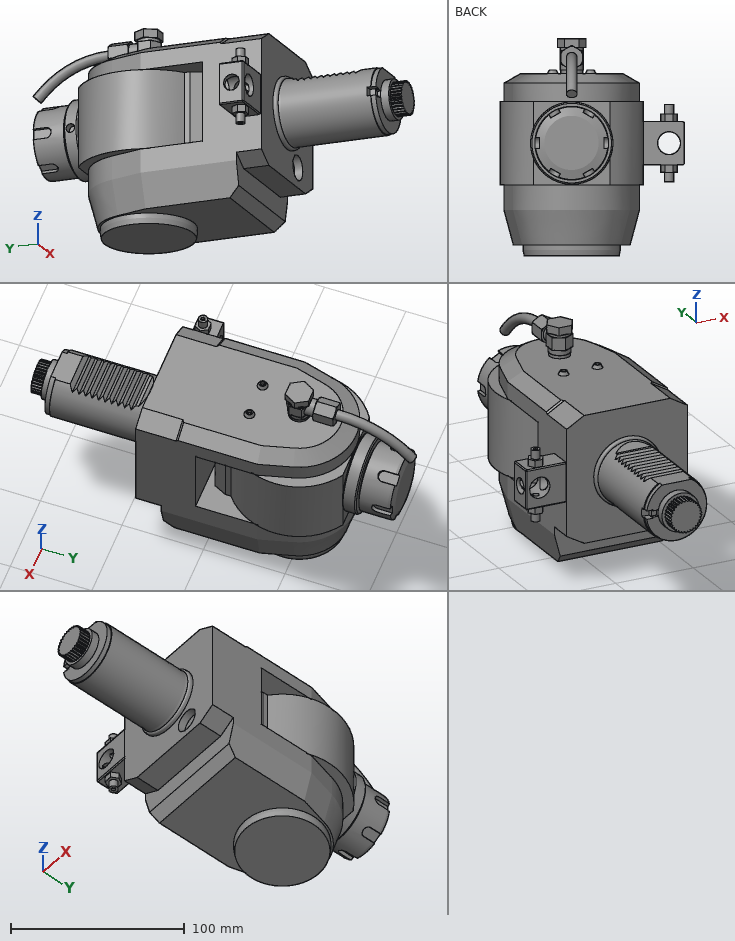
import cadquery as cq
import math


overlap = 1.0

half_width = 39.0
body_top = 40.0
nose_y = 86.0
nose_radius = 34.8
nose_slant = math.radians(15)
block_length = 24.8
block_ramp_end_y = 26.0
block_bottom = -40.0
block_cut_y = 15.65
block_bevel_x, block_bevel_z = 11.2, 6.5
bevel_x, bevel_z = 9.5, 5.5
taper_top, lower_bottom = -38.5, -58.7
lower_taper = math.radians(15)
taper_inset = (taper_top - lower_bottom) * math.tan(lower_taper)
lower_chamfer = 6.2

drum_radius = 41.2
drum_half_height = 24.0
slot_end_y = 36.8
drum_back_y = 53.4
flank_end_y = 50.0
tail_corner = (21.4, 42.3)
tail_tip_y = 37.6
drum_front_y = nose_y + nose_radius

cover_radius, cover_tip_radius = 28.0, 27.4
cover_step_z, cover_bottom = -61.7, -64.8

ring_radius, ring_end_y, ring_chamfer = 23.7, 129.4, 0.8
ring_hole_radius, ring_hole_depth = 2.6, 5.0
neck_radius = 18.5
nut_radius, nut_start_y, nut_shoulder_y, nut_end_y = 21.2, 130.4, 149.4, 150.9
nut_bevel_y, nut_shoulder_radius, nut_face_radius = 147.9, 20.9, 15.6
nut_slot_count, nut_slot_width, nut_slot_depth, nut_slot_end_y = 6, 6.4, 2.6, 138.2

collar_radius, collar_length, collar_rounding = 21.6, 2.7, 1.3
root_radius, root_length = 20.2, 4.1
shank_radius, shank_length = 20.0, 63.0
shank_tip_radius, shank_tip_length = 19.4, 3.0
journal_radius, journal_length = 12.0, 5.0
spline_radius, spline_root_radius, spline_length, spline_count = 10.1, 9.3, 7.0, 30
tooth_tip_start, tooth_tip_end = 0.35, 0.65
rack_flat_z, rack_ramp_y = 17.0, -4.7
rack_pitch, rack_count, rack_first_y = 4.0, 10, -12.1
rack_root_z = 14.4
rack_tip_z = rack_root_z + rack_pitch / 2
notch_width, notch_floor_x, notch_depth = 5.2, -15.2, 5.2
inner_notch_width, inner_notch_depth = 4.0, 2.0

coolant_port_x, coolant_port_z = 16.1, -27.8
coolant_port_radius, coolant_port_depth = 7.5, 5.0

bracket_end_x = -64.8
bracket_front_y, bracket_back_y = 0.7, 15.65
bracket_half_height = 12.5
bracket_chamfer = 0.7
bracket_hole_x, bracket_bore_radius = -56.0, 6.5
side_port_radius, side_port_end_x, feed_radius = 4.8, -44.0, 1.8
screw_hole_radius, screw_tip_z = 2.0, 9.0
screw_y, screw_radius, screw_reach = 6.1, 2.7, 22.3
screw_nut_corners, screw_nut_height = 9.6, 4.3
screw_socket_corners, screw_socket_depth = 2.6, 2.0

post_radius = 6.7
foot_radius, foot_top = 6.4, 42.0
post_hex_bottom, post_hex_top, post_hex_corners = 45.2, 53.2, 15.6
cap_bottom, cap_top, cap_corners = 55.0, 60.1, 16.6
tube_z = 49.1
stub_radius = 5.2
tube_nut_start_y, tube_nut_end_y, tube_nut_corners, tube_nut_chamfer = 96.5, 109.0, 14.3, 0.6
tube_radius = 3.1
tube_bend_y, tube_bend_radius, tube_bend_angle = 110.9, 57.5, math.radians(45)
tube_end_length = 5.54

button_x, button_y = 10.9, 59.4
button_radius, button_top_radius, button_height = 3.1, 2.0, 2.1
button_hole_radius = 1.3


def block(x0, x1, y0, y1, z0, z1):
    return cq.Workplane("XY").box(x1 - x0, y1 - y0, z1 - z0, centered=False).translate((x0, y0, z0))


def cylinder(radius, start, length, direction):
    return cq.Workplane(cq.Solid.makeCylinder(radius, length, cq.Vector(*start), cq.Vector(*direction)))


def hexagon_up(corners, x, y, z0, z1):
    """Upright hexagonal prism with two corners on the X direction."""
    return cq.Workplane("XY", origin=(x, y, z0)).polygon(6, corners).extrude(z1 - z0)


def turned_on_y(profile):
    """Revolve (radius, y) points, starting and ending on the axis, about Y."""
    return cq.Workplane("XY").polyline(profile).close().revolve(360, (0, 0, 0), (0, 1, 0))


def nose_outline(z, inset, rear_y):
    """Housing plan: straight sides, slanted flats and a round nose, moved inwards by inset."""
    side = half_width - inset
    radius = nose_radius - inset
    tangent_x = radius * math.cos(nose_slant)
    tangent_y = nose_y + radius * math.sin(nose_slant)
    corner_y = tangent_y - (side - tangent_x) / math.tan(nose_slant)
    return (
        cq.Workplane("XY", origin=(0, 0, z))
        .moveTo(-side, rear_y)
        .lineTo(-side, corner_y)
        .lineTo(-tangent_x, tangent_y)
        .threePointArc((0, nose_y + radius), (tangent_x, tangent_y))
        .lineTo(side, corner_y)
        .lineTo(side, rear_y)
        .close()
    )


def nose_frustum(z0, inset0, z1, inset1, rear_y):
    bottom = nose_outline(z0, inset0, rear_y).wire().val()
    top = nose_outline(z1, inset1, rear_y).wire().val()
    return cq.Workplane(cq.Solid.makeLoft([bottom, top], True))


def block_outline(edge_z, corner_x, corner_z):
    """Half section of the rear block from Z = 0 to edge_z with both outer corners bevelled."""
    inner = half_width - corner_x
    side_z = edge_z - corner_z
    return [
        (-half_width, 0), (-half_width, side_z), (-inner, edge_z),
        (inner, edge_z), (half_width, side_z), (half_width, 0),
    ]


def make_housing():
    bevel_start = body_top - bevel_z
    upper = nose_outline(taper_top, 0, block_cut_y).extrude(bevel_start - taper_top)
    bevelled = nose_frustum(bevel_start, 0, body_top, bevel_x, block_cut_y)
    lower = nose_frustum(taper_top, 0, lower_bottom, taper_inset, block_cut_y)
    rear_chamfer = (
        cq.Workplane("YZ", origin=(-half_width, 0, 0))
        .moveTo(block_cut_y, lower_bottom)
        .lineTo(block_cut_y + lower_chamfer, lower_bottom)
        .lineTo(block_cut_y, lower_bottom + lower_chamfer)
        .close()
        .extrude(2 * half_width)
    )
    housing = upper.union(bevelled).union(lower.cut(rear_chamfer))
    housing = housing.cut(block(-half_width, half_width, 0, block_ramp_end_y, 0, body_top))

    deep = block_outline(body_top, block_bevel_x, block_bevel_z)
    shallow = block_outline(body_top, bevel_x, bevel_z)
    bottom = block_outline(block_bottom, block_bevel_x, -block_bevel_z)
    upper_block = cq.Workplane("XZ").polyline(deep).close().extrude(-block_length)
    lower_block = cq.Workplane("XZ").polyline(bottom).close().extrude(-block_cut_y)
    ramp = (
        cq.Workplane("XZ", origin=(0, block_length, 0))
        .polyline(deep).close()
        .workplane(offset=block_length - block_ramp_end_y)
        .polyline(shallow).close()
        .loft(ruled=True)
    )
    housing = housing.union(upper_block).union(ramp).union(lower_block)
    slot_front_y = drum_front_y + overlap
    drum_slot = block(
        -half_width, half_width, slot_end_y, slot_front_y, -drum_half_height, drum_half_height
    )
    return housing.cut(drum_slot)


def make_drum():
    flank_x = math.sqrt(drum_radius**2 - (nose_y - drum_back_y) ** 2)
    front_x = math.sqrt(drum_radius**2 - nose_radius**2)
    tail_x, tail_y = tail_corner
    return (
        cq.Workplane("XY", origin=(0, 0, -drum_half_height))
        .moveTo(-front_x, drum_front_y)
        .threePointArc((-drum_radius, nose_y), (-flank_x, drum_back_y))
        .lineTo(-flank_x, flank_end_y)
        .lineTo(-tail_x, tail_y)
        .threePointArc((0, tail_tip_y), (tail_x, tail_y))
        .lineTo(flank_x, flank_end_y)
        .lineTo(flank_x, drum_back_y)
        .threePointArc((drum_radius, nose_y), (front_x, drum_front_y))
        .close()
        .extrude(2 * drum_half_height)
    )


def make_cover():
    profile = [
        (0, lower_bottom + overlap), (cover_radius, lower_bottom + overlap), (cover_radius, cover_step_z),
        (cover_tip_radius, cover_bottom), (0, cover_bottom),
    ]
    cover = cq.Workplane("XZ").polyline(profile).close().revolve(360, (0, 0, 0), (0, 1, 0))
    return cover.translate((0, nose_y, 0))


def make_collet_nut():
    root_y = drum_front_y - overlap
    nut = turned_on_y([
        (0, root_y), (neck_radius, root_y), (neck_radius, drum_front_y),
        (ring_radius - ring_chamfer, drum_front_y), (ring_radius, drum_front_y + ring_chamfer),
        (ring_radius, ring_end_y - ring_chamfer), (ring_radius - ring_chamfer, ring_end_y),
        (neck_radius, ring_end_y), (neck_radius, nut_start_y), (nut_radius, nut_start_y),
        (nut_radius, nut_bevel_y), (nut_shoulder_radius, nut_shoulder_y),
        (nut_face_radius, nut_end_y), (0, nut_end_y),
    ])
    slot_half = nut_slot_width / 2
    slot_floor = nut_radius - nut_slot_depth
    round_y = nut_slot_end_y + slot_half
    slot = block(-slot_half, slot_half, round_y, nut_end_y, slot_floor, nut_radius + overlap)
    slot = slot.union(cylinder(slot_half, (0, round_y, slot_floor), nut_slot_depth + overlap, (0, 0, 1)))
    step = 360 / nut_slot_count
    for index in range(nut_slot_count):
        nut = nut.cut(slot.rotate((0, 0, 0), (0, 1, 0), (index + 0.5) * step))
    ring_hole_y = (drum_front_y + ring_end_y) / 2
    return nut.cut(cylinder(ring_hole_radius, (-ring_radius, ring_hole_y, 0), ring_hole_depth, (1, 0, 0)))


def make_rack_cutter():
    """Sawtooth profile with 90 degree teeth and a flat towards the shank end."""
    outside_z = shank_radius + overlap
    half_pitch = rack_pitch / 2
    points = [
        (rack_ramp_y + outside_z - shank_radius, outside_z),
        (rack_ramp_y + rack_tip_z - shank_radius, rack_tip_z),
        (rack_first_y + half_pitch, rack_tip_z),
    ]
    for index in range(rack_count):
        root_y = rack_first_y - index * rack_pitch
        points.append((root_y, rack_root_z))
        if index < rack_count - 1:
            points.append((root_y - half_pitch, rack_tip_z))
    flat_start_y = root_y - (rack_flat_z - rack_root_z)
    points += [
        (flat_start_y, rack_flat_z),
        (-shank_length, rack_flat_z),
        (-shank_length, outside_z),
    ]
    return (
        cq.Workplane("YZ", origin=(-shank_radius, 0, 0)).polyline(points).close().extrude(2 * shank_radius)
    )


def make_spline(start_y):
    points = []
    step = 2 * math.pi / spline_count
    for index in range(spline_count):
        corners = (
            (spline_root_radius, 0),
            (spline_radius, tooth_tip_start),
            (spline_radius, tooth_tip_end),
        )
        for radius, share in corners:
            angle = (index + share) * step
            points.append((radius * math.cos(angle), radius * math.sin(angle)))
    return cq.Workplane("XZ", origin=(0, start_y, 0)).polyline(points).close().extrude(spline_length)


def make_shank():
    journal_end = -shank_length - journal_length
    shank = turned_on_y([
        (0, overlap), (root_radius, overlap), (root_radius, -collar_length), (shank_radius, -root_length),
        (shank_radius, shank_tip_length - shank_length), (shank_tip_radius, shank_tip_length - shank_length),
        (shank_tip_radius, -shank_length), (journal_radius, -shank_length),
        (journal_radius, journal_end), (0, journal_end),
    ])
    collar = cylinder(collar_radius, (0, overlap, 0), collar_length + overlap, (0, -1, 0))
    shank = shank.union(collar.edges("<Y").fillet(collar_rounding)).cut(make_rack_cutter())
    half = notch_width / 2
    inner_half = inner_notch_width / 2
    shank = shank.cut(
        block(-shank_radius, notch_floor_x, -shank_length, notch_depth - shank_length, -half, half)
    )
    shank = shank.cut(
        block(notch_floor_x, -journal_radius, -shank_length, inner_notch_depth - shank_length,
              -inner_half, inner_half)
    )
    return shank.union(make_spline(journal_end))


def make_bracket():
    bracket = block(
        bracket_end_x, -half_width + overlap, bracket_front_y, bracket_back_y,
        -bracket_half_height, bracket_half_height,
    )
    outer_edges = bracket.edges("(<X and <Y) or (<X and >Z) or (<X and <Z) or (<Y and >Z) or (<Y and <Z)")
    bracket = outer_edges.chamfer(bracket_chamfer)
    bracket = bracket.cut(cylinder(bracket_bore_radius, (bracket_hole_x, 0, 0), bracket_back_y, (0, 1, 0)))
    port_start = (bracket_end_x, (bracket_front_y + bracket_back_y) / 2, 0)
    port_length = side_port_end_x - bracket_end_x
    bracket = bracket.cut(cylinder(side_port_radius, port_start, port_length, (1, 0, 0)))
    bracket = bracket.cut(cylinder(feed_radius, port_start, -half_width - bracket_end_x, (1, 0, 0)))
    hole_start = (bracket_hole_x, screw_y, -screw_tip_z)
    screw_hole = cylinder(screw_hole_radius, hole_start, 2 * screw_tip_z, (0, 0, 1))
    bracket = bracket.cut(screw_hole)
    screw = make_bracket_screw()
    return bracket.union(screw).union(screw.mirror("XY"))


def make_bracket_screw():
    nut_top = bracket_half_height + screw_nut_height
    seat_z = bracket_half_height - overlap
    nut = hexagon_up(screw_nut_corners, bracket_hole_x, screw_y, seat_z, nut_top)
    pin = cylinder(screw_radius, (bracket_hole_x, screw_y, seat_z), screw_reach - seat_z, (0, 0, 1))
    socket = hexagon_up(
        screw_socket_corners, bracket_hole_x, screw_y, screw_reach - screw_socket_depth, screw_reach
    )
    return nut.union(pin).cut(socket)


def make_fitting():
    root_z = body_top - overlap
    foot = cylinder(foot_radius, (0, nose_y, root_z), foot_top - root_z, (0, 0, 1))
    post = cylinder(post_radius, (0, nose_y, foot_top), cap_bottom - foot_top, (0, 0, 1)).union(foot)
    post_hex = hexagon_up(post_hex_corners, 0, 0, post_hex_bottom, post_hex_top)
    post_hex = post_hex.rotate((0, 0, 0), (0, 0, 1), 90).translate((0, nose_y, 0))
    cap = hexagon_up(cap_corners, 0, nose_y, cap_bottom, cap_top)
    stub = cylinder(stub_radius, (0, nose_y, tube_z), tube_nut_start_y - nose_y, (0, 1, 0))
    tube_nut_length = tube_nut_end_y - tube_nut_start_y
    tube_nut = (
        hexagon_up(tube_nut_corners, 0, 0, 0, tube_nut_length)
        .rotate((0, 0, 0), (0, 0, 1), 90)
        .rotate((0, 0, 0), (1, 0, 0), -90)
        .translate((0, tube_nut_start_y, tube_z))
    )
    rounding = turned_on_y([
        (0, 0), (tube_nut_corners / 2 - tube_nut_chamfer, 0), (tube_nut_corners / 2, tube_nut_chamfer),
        (tube_nut_corners / 2, tube_nut_length - tube_nut_chamfer),
        (tube_nut_corners / 2 - tube_nut_chamfer, tube_nut_length), (0, tube_nut_length),
    ])
    tube_nut = tube_nut.intersect(rounding.translate((0, tube_nut_start_y, tube_z)))
    return post.union(post_hex).union(cap).union(stub).union(tube_nut).union(make_tube())


def make_tube():
    def on_bend(angle):
        return (
            tube_bend_y + tube_bend_radius * math.sin(angle),
            tube_z - tube_bend_radius * (1 - math.cos(angle)),
        )

    bend_end_y, bend_end_z = on_bend(tube_bend_angle)
    tip = (
        bend_end_y + tube_end_length * math.cos(tube_bend_angle),
        bend_end_z - tube_end_length * math.sin(tube_bend_angle),
    )
    tube_start_y = tube_nut_end_y - overlap
    path = (
        cq.Workplane("YZ")
        .moveTo(tube_start_y, tube_z)
        .lineTo(tube_bend_y, tube_z)
        .threePointArc(on_bend(tube_bend_angle / 2), (bend_end_y, bend_end_z))
        .lineTo(*tip)
    )
    return cq.Workplane("XZ", origin=(0, tube_start_y, tube_z)).circle(tube_radius).sweep(path)


def make_button(x):
    base = cq.Vector(x, button_y, body_top)
    up = cq.Vector(0, 0, 1)
    cone = cq.Solid.makeCone(button_radius, button_top_radius, button_height, base, up)
    hole = cq.Solid.makeCylinder(button_hole_radius, button_height, base, up)
    return cq.Workplane(cone.cut(hole))


result = make_housing()
additions = [
    make_drum(), make_cover(), make_collet_nut(), make_shank(), make_bracket(), make_fitting(),
    make_button(-button_x), make_button(button_x),
]
for addition in additions:
    result = result.union(addition)
result = result.cut(
    cylinder(coolant_port_radius, (coolant_port_x, 0, coolant_port_z), coolant_port_depth, (0, 1, 0))
)